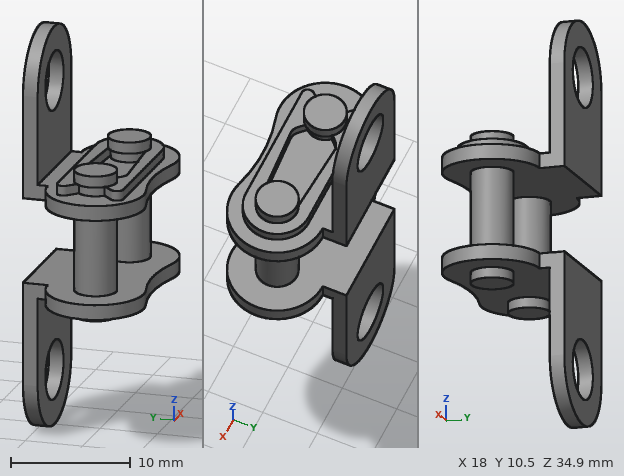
import cadquery as cq
import math


pin_pitch = 9.57
plate_end_radius = 4.2
plate_thickness = 1.3
plate_gap = 7.4
waist_depth = 3.53
tab_back = 6.35
link_height = 34.92
tab_hole_diameter = 5.1

pin_diameter = 3.6
groove_radius = 1.57
pin_length = 12.7
pin_bottom_z = -5.9

clip_thickness = 0.85
clip_width = 5.75
clip_tip_overhang = 2.1
clip_tip_fillet = 0.52
throat_corner = 2.05
throat_fillet = 1.05

pin_x = pin_pitch / 2
pin_radius = pin_diameter / 2
clip_end_radius = clip_width / 2
pin_places = [(-pin_x, 0), (pin_x, 0)]
plate_inner_z = plate_gap / 2
plate_outer_z = plate_inner_z + plate_thickness
tab_radius = pin_x
tab_eye_z = link_height / 2 - tab_radius
waist_radius = (pin_x**2 + waist_depth**2 - plate_end_radius**2) / (2 * (plate_end_radius - waist_depth))
waist_tangent_share = plate_end_radius / (plate_end_radius + waist_radius)
waist_tangent_x = pin_x * (1 - waist_tangent_share)
waist_tangent_y = -(waist_depth + waist_radius) * waist_tangent_share


def make_upper_plate():
    """Waisted plate with a straight rear strip that carries the tab."""
    end_x = pin_x + plate_end_radius
    return (
        cq.Workplane("XY")
        .workplane(offset=plate_inner_z)
        .moveTo(-pin_x, tab_back)
        .lineTo(pin_x, tab_back)
        .lineTo(pin_x, plate_end_radius)
        .threePointArc((end_x, 0), (waist_tangent_x, waist_tangent_y))
        .threePointArc((0, -waist_depth), (-waist_tangent_x, waist_tangent_y))
        .threePointArc((-end_x, 0), (-pin_x, plate_end_radius))
        .close()
        .extrude(plate_thickness)
    )


def make_upper_tab():
    """Upright tab with a round end and a through hole."""
    tab = (
        cq.Workplane("XZ", origin=(0, tab_back, 0))
        .moveTo(-tab_radius, plate_inner_z)
        .lineTo(tab_radius, plate_inner_z)
        .lineTo(tab_radius, tab_eye_z)
        .threePointArc((0, link_height / 2), (-tab_radius, tab_eye_z))
        .close()
        .extrude(plate_thickness)
    )
    hole = (
        cq.Workplane("XZ", origin=(0, tab_back, 0))
        .center(0, tab_eye_z)
        .circle(tab_hole_diameter / 2)
        .extrude(plate_thickness)
    )
    return tab.cut(hole)


def make_pins():
    """Two pins, each with a clip groove just above the upper plate."""
    pins = (
        cq.Workplane("XY")
        .workplane(offset=pin_bottom_z)
        .pushPoints(pin_places)
        .circle(pin_radius)
        .extrude(pin_length)
    )
    grooves = (
        cq.Workplane("XY")
        .workplane(offset=plate_outer_z)
        .pushPoints(pin_places)
        .circle(pin_radius)
        .circle(groove_radius)
        .extrude(clip_thickness)
    )
    return pins.cut(grooves)


def make_link():
    upper_half = make_upper_plate().union(make_upper_tab())
    lower_half = upper_half.mirror("XY")
    return upper_half.union(lower_half).union(make_pins())


def make_clip_blank():
    """Clip outline before its inside is opened."""
    return (
        cq.Workplane("XY")
        .workplane(offset=plate_outer_z)
        .moveTo(-pin_x - clip_tip_overhang, -clip_end_radius)
        .lineTo(pin_x, -clip_end_radius)
        .threePointArc((pin_x + clip_end_radius, 0), (pin_x, clip_end_radius))
        .lineTo(-pin_x - clip_tip_overhang, clip_end_radius)
        .close()
        .extrude(clip_thickness)
    )


def make_clip_window():
    """Opening from the throat corners, tapering to meet the right pin groove tangentially."""
    corner_x = -pin_x + throat_corner
    reach = pin_x - corner_x
    tangent_angle = (
        math.atan2(throat_corner, reach)
        + math.acos(groove_radius / math.hypot(reach, throat_corner))
    )
    middle_z = plate_outer_z + clip_thickness / 2
    tangent_x = pin_x - groove_radius * math.cos(tangent_angle)
    tangent_y = groove_radius * math.sin(tangent_angle)
    return (
        cq.Workplane("XY")
        .workplane(offset=plate_outer_z)
        .moveTo(-pin_x, 0)
        .lineTo(corner_x, -throat_corner)
        .lineTo(tangent_x, -tangent_y)
        .threePointArc((pin_x + groove_radius, 0), (tangent_x, tangent_y))
        .lineTo(corner_x, throat_corner)
        .close()
        .extrude(clip_thickness)
        .edges(
            cq.selectors.NearestToPointSelector((corner_x, throat_corner, middle_z))
            + cq.selectors.NearestToPointSelector((corner_x, -throat_corner, middle_z))
        )
        .fillet(throat_fillet)
    )


def make_clip_mouth():
    """45 degree entry between the prong tips, and the seat around the left pin groove."""
    entry = (
        cq.Workplane("XY")
        .workplane(offset=plate_outer_z)
        .moveTo(-pin_x, 0)
        .lineTo(-pin_x - clip_tip_overhang, clip_tip_overhang)
        .lineTo(-pin_x - clip_tip_overhang, -clip_tip_overhang)
        .close()
        .extrude(clip_thickness)
    )
    seat = (
        cq.Workplane("XY")
        .workplane(offset=plate_outer_z)
        .center(-pin_x, 0)
        .circle(groove_radius)
        .extrude(clip_thickness)
    )
    return entry.union(seat)


def make_clip():
    opened = make_clip_blank().cut(make_clip_window()).cut(make_clip_mouth())
    return opened.faces("<X").edges("|Z").fillet(clip_tip_fillet)


link = make_link()
spring_clip = make_clip()

result = cq.Compound.makeCompound([link.val(), spring_clip.val()])